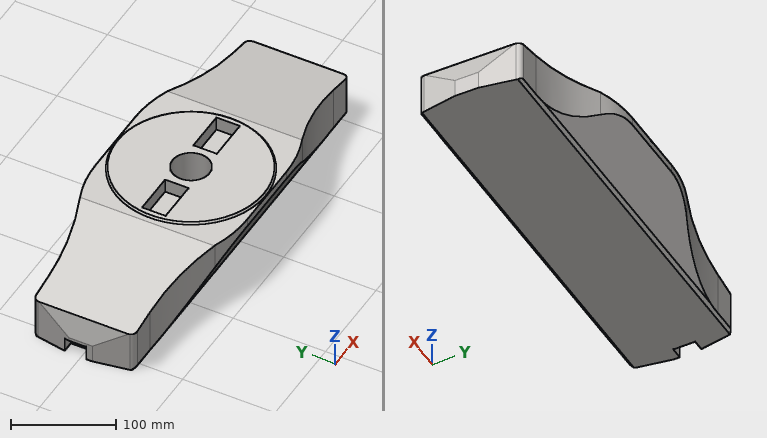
import cadquery as cq
import math

half_length = 219.0
half_width = 82.0
arm_half_width = 54.8
total_height = 72.0
deck_height = 69.5

centre_flat_x = 39.0
deck_edge_x = 86.7
arm_start_x = 181.8
corner_radius = 6.0

nose_half_width = 12.5
nose_height = 19.5
end_top_x = 213.0
end_top_half_width = 48.0
end_top_height = 45.0

flank_top_height = 61.0
flank_foot_height = 3.5
flank_foot_half_width = 55.0
base_half_width = 51.5

disc_radius = 162.0 / 2
disc_top_radius = 79.3

bore_diameter = 40.0
bore_depth = 44.0
pocket_length = 45.5
pocket_width = 25.5
pocket_depth = 15.5
pocket_centre_x = 51.0
notch_width = 23.5
notch_height = 15.8
notch_centre_y = 5.5
notch_depth = 13.0


def mirrored(points):
    """Close a profile by adding its reversed mirror image across the vertical axis."""
    return points + [(-x, y) for x, y in reversed(points)]


def prism_along_x(profile):
    """Extrude a (Y, Z) profile over the full length."""
    return cq.Workplane("YZ").polyline(profile).close().extrude(half_length, both=True)


def flank_points():
    """Middle and end points of the two tangent arcs on the +X, +Y flank."""
    run = arm_start_x - centre_flat_x
    drop = half_width - arm_half_width
    radius_sum = (run**2 + drop**2) / (2 * drop)
    sweep = 2 * math.atan2(drop, run)
    convex_radius = (deck_edge_x - centre_flat_x) / math.sin(sweep)
    concave_radius = radius_sum - convex_radius

    def convex(angle):
        return (centre_flat_x + convex_radius * math.sin(angle),
                half_width - convex_radius * (1 - math.cos(angle)))

    def concave(angle):
        return (arm_start_x - concave_radius * math.sin(angle),
                arm_half_width + concave_radius * (1 - math.cos(angle)))

    return convex(sweep / 2), convex(sweep), concave(sweep / 2)


def plan_body():
    """Upright body with curved flanks, shallow pointed ends and rounded corners."""
    convex_mid, inflection, concave_mid = flank_points()
    end_slope = (half_length - end_top_x) / (end_top_half_width - nose_half_width)
    corner_x = half_length - end_slope * (arm_half_width - nose_half_width)
    quarter = (
        cq.Workplane("XY")
        .lineTo(0, half_width)
        .lineTo(centre_flat_x, half_width)
        .threePointArc(convex_mid, inflection)
        .threePointArc(concave_mid, (arm_start_x, arm_half_width))
        .lineTo(corner_x, arm_half_width)
        .lineTo(half_length, nose_half_width)
        .lineTo(half_length, 0)
        .close()
        .extrude(deck_height)
    )
    half = quarter.union(quarter.mirror("XZ"))
    body = half.union(half.mirror("YZ")).clean()
    for x in (-corner_x, corner_x):
        for y in (-arm_half_width, arm_half_width):
            corner = cq.selectors.NearestToPointSelector((x, y, deck_height / 2))
            body = body.edges(corner).fillet(corner_radius)
    return body


def side_envelope():
    """Sloping arm tops and end bevels, spanning the whole width."""
    profile = mirrored([
        (half_length, 0),
        (half_length, nose_height),
        (end_top_x, end_top_height),
        (deck_edge_x, deck_height),
    ])
    return cq.Workplane("XZ").polyline(profile).close().extrude(half_width, both=True)


def cross_section_envelope():
    """Cross-section with undercut flanks and a bevelled foot."""
    return prism_along_x(mirrored([
        (base_half_width, 0),
        (flank_foot_half_width, flank_foot_height),
        (half_width, flank_top_height),
        (half_width, deck_height),
    ]))


def turntable_disc():
    """Thin raised disc with a tapered rim."""
    return (
        cq.Workplane("XY", origin=(0, 0, deck_height))
        .circle(disc_radius)
        .workplane(offset=total_height - deck_height)
        .circle(disc_top_radius)
        .loft(ruled=True)
    )


def openings():
    """Blind central bore, two rectangular pockets and the cable notch in the -X end."""
    bore = (
        cq.Workplane("XY", origin=(0, 0, total_height))
        .circle(bore_diameter / 2)
        .extrude(-bore_depth)
    )
    pockets = (
        cq.Workplane("XY", origin=(0, 0, total_height))
        .pushPoints([(-pocket_centre_x, 0), (pocket_centre_x, 0)])
        .rect(pocket_length, pocket_width)
        .extrude(-pocket_depth)
    )
    notch = (
        cq.Workplane("YZ", origin=(-half_length, notch_centre_y, 0))
        .rect(notch_width, 2 * notch_height)
        .extrude(notch_depth)
    )
    return bore.union(pockets).union(notch)


body = plan_body().intersect(side_envelope()).intersect(cross_section_envelope())
result = body.union(turntable_disc()).cut(openings())